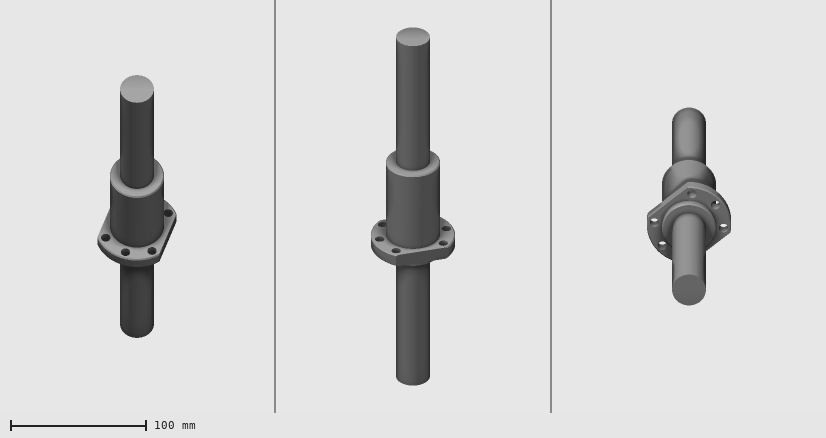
import cadquery as cq
import math

shaft_length = 300.0
shaft_diameter = 25.0

nut_length = 80.0
nut_diameter = 40.0
nut_bottom = -nut_length / 2

flange_diameter = 62.0
flange_width = 48.0
flange_thickness = 10.0
flange_bottom = nut_bottom + 6.0

edge_chamfer = 1.0

bolt_circle_diameter = 51.0
bolt_hole_diameter = 7.0
bolt_hole_angles = [45, 90, 135, 225, 270, 315]


def cylinder(diameter, length, bottom):
    """Upright cylinder on the Z axis."""
    return cq.Workplane("XY", origin=(0, 0, bottom)).circle(diameter / 2).extrude(length)


def chamfered_cylinder(diameter, length, bottom):
    """Upright cylinder with both rims chamfered."""
    return cylinder(diameter, length, bottom).edges("%CIRCLE").chamfer(edge_chamfer)


def make_shaft():
    """Plain round shaft."""
    return cylinder(shaft_diameter, shaft_length, -shaft_length / 2)


def make_flange():
    """Chamfered disc with two parallel flats facing -X and +X."""
    disc = chamfered_cylinder(flange_diameter, flange_thickness, flange_bottom)
    flats = (
        cq.Workplane("XY", origin=(0, 0, flange_bottom))
        .rect(flange_width, flange_diameter)
        .extrude(flange_thickness)
    )
    return disc.intersect(flats)


def make_bolt_holes():
    """Cutters for the mounting holes through the flange."""
    radius = bolt_circle_diameter / 2
    centres = [
        (radius * math.cos(math.radians(angle)), radius * math.sin(math.radians(angle)))
        for angle in bolt_hole_angles
    ]
    return (
        cq.Workplane("XY", origin=(0, 0, flange_bottom))
        .pushPoints(centres)
        .circle(bolt_hole_diameter / 2)
        .extrude(flange_thickness)
    )


def make_nut():
    """Flanged nut with a bore that fits the shaft."""
    barrel = chamfered_cylinder(nut_diameter, nut_length, nut_bottom)
    bore = cylinder(shaft_diameter, nut_length, nut_bottom)
    return barrel.union(make_flange()).cut(bore).cut(make_bolt_holes())


shaft = make_shaft()
nut = make_nut()

result = cq.Compound.makeCompound([shaft.val(), *nut.solids().vals()])